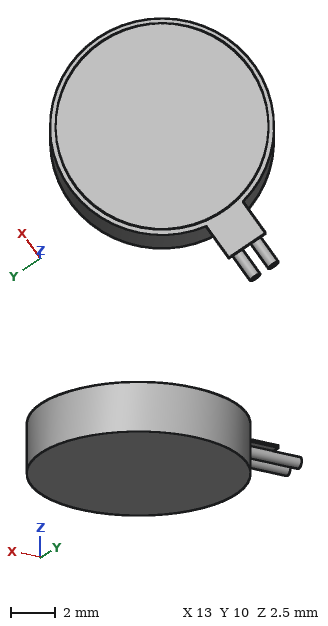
import cadquery as cq

total_length = 13.0
housing_diameter = 10.0
total_height = 2.5

disc_diameter = 9.5
disc_height = 0.12

tab_width = 2.0
tab_thickness = 0.12
wire_overhang = 1.34

wire_diameter = 0.55
wire_spacing = 0.99

housing_radius = housing_diameter / 2
shoulder_z = total_height - disc_height
wire_tip_x = housing_radius - total_length
tab_tip_x = wire_tip_x + wire_overhang
tab_bottom_z = shoulder_z - tab_thickness
wire_z = tab_bottom_z - wire_diameter / 2


def make_drum():
    """Plain cylinder of the housing, up to its shoulder."""
    return cq.Workplane("XY").circle(housing_radius).extrude(shoulder_z)


def make_housing():
    """Drum with its raised disc and the tab reaching out toward -X."""
    disc = (
        cq.Workplane("XY")
        .workplane(offset=shoulder_z)
        .circle(disc_diameter / 2)
        .extrude(disc_height)
    )
    tab = (
        cq.Workplane("XY")
        .box(-tab_tip_x, tab_width, tab_thickness, centered=(False, True, False))
        .translate((tab_tip_x, 0, tab_bottom_z))
    )
    return make_drum().union(disc).union(tab)


def make_wire(y):
    """Round wire under the tab, its inner end shaped to butt against the drum wall."""
    rod = (
        cq.Workplane("YZ", origin=(wire_tip_x, y, wire_z))
        .circle(wire_diameter / 2)
        .extrude(-wire_tip_x)
    )
    return rod.cut(make_drum())


housing = make_housing()
wires = [make_wire(side * wire_spacing / 2) for side in (-1, 1)]

result = cq.Compound.makeCompound([housing.val(), *[wire.solids().val() for wire in wires]])